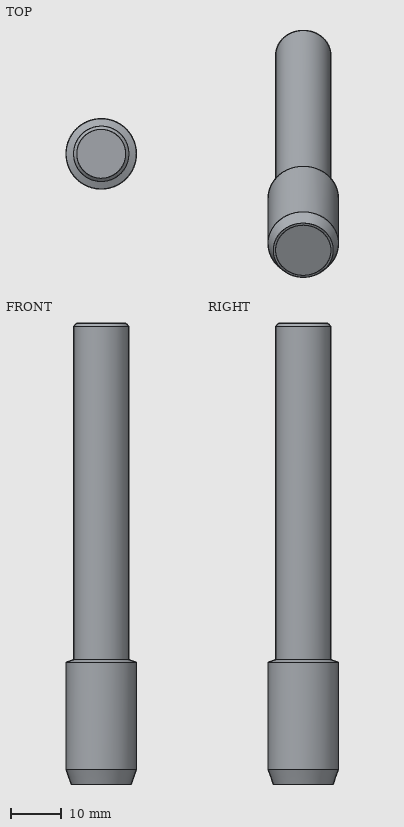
import cadquery as cq

total_length = 91.3
sleeve_radius = 6.98
pin_radius = 5.5

pin_chamfer = 0.6
sleeve_length = 24.7
shoulder_height = 0.55
tip_height = 3.0
tip_radius = 5.9


def make_pin():
    """Straight round pin with a chamfered top edge."""
    pin = cq.Workplane("XY").circle(pin_radius).extrude(total_length)
    return pin.faces(">Z").edges().chamfer(pin_chamfer)


def make_sleeve():
    """Sleeve around the lower pin, tapered at both ends and bored to the pin's radius."""
    shoulder_base = sleeve_length - shoulder_height
    wall = (
        cq.Workplane("XZ")
        .moveTo(pin_radius, 0)
        .lineTo(tip_radius, 0)
        .lineTo(sleeve_radius, tip_height)
        .lineTo(sleeve_radius, shoulder_base)
        .lineTo(pin_radius, sleeve_length)
        .close()
    )
    return wall.revolve(360, (0, 0, 0), (0, 1, 0))


pin = make_pin()
sleeve = make_sleeve()

result = cq.Compound.makeCompound([pin.val(), sleeve.val()])